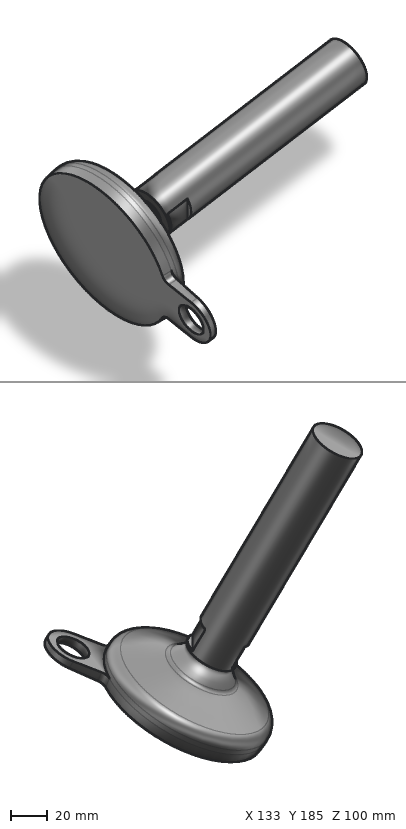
import cadquery as cq
import math


base_radius = 50.0
underside_radius = 49.3
rim_height = 6.0
band_top = 9.0
shoulder_radius = 7.5
cone_angle = math.radians(20.0)

dome_radius = 25.0
dome_centre_y = 10.8
dome_blend_radius = 5.0

stem_radius = 15.0
stem_bottom = 35.5
stem_top = 185.0
neck_radius = 8.5
flat_spacing = 24.0
flat_length = 15.0
collar_thickness = 1.5

lug_radius = 15.0
lug_reach = 83.0
lug_centre_x = lug_reach - lug_radius
lug_hole_diameter = 19.0
lug_corner_radius = 5.0
lug_slope = math.radians(3.0)
lug_slope_start_x = 47.0


def make_rim_with_lug():
    """Tapered rim joined to a lug whose upper face slopes down to its tip."""
    rim = (
        cq.Workplane("XY")
        .polyline([(0, 0), (underside_radius, 0), (base_radius, rim_height), (0, rim_height)])
        .close()
        .revolve(360, (0, 0), (0, 1))
    )
    lug = (
        cq.Workplane("XZ")
        .moveTo(0, -lug_radius)
        .lineTo(lug_centre_x, -lug_radius)
        .threePointArc((lug_reach, 0), (lug_centre_x, lug_radius))
        .lineTo(0, lug_radius)
        .close()
        .extrude(-rim_height)
    )
    corner_margin = 2.0
    corner_x = math.sqrt(base_radius**2 - lug_radius**2)
    corner_edges = cq.selectors.BoxSelector(
        (corner_x - corner_margin, 0, -lug_radius - corner_margin),
        (corner_x + corner_margin, rim_height, lug_radius + corner_margin),
    )
    plate = rim.union(lug).edges(corner_edges).edges("not #Y").fillet(lug_corner_radius)

    wedge_run = lug_reach - lug_slope_start_x
    wedge = (
        cq.Workplane("XY")
        .moveTo(lug_slope_start_x, rim_height)
        .lineTo(lug_reach, rim_height)
        .lineTo(lug_reach, rim_height - wedge_run * math.tan(lug_slope))
        .close()
        .extrude(base_radius, both=True)
    )
    hole = (
        cq.Workplane("XZ")
        .center(lug_centre_x, 0)
        .circle(lug_hole_diameter / 2)
        .extrude(-rim_height)
    )
    return plate.cut(wedge).cut(hole).union(rim)


def make_upper_pad():
    """Band, rounded shoulder, cone and ball dome, revolved about the Y axis."""
    shoulder_x = base_radius - shoulder_radius

    def shoulder_point(angle):
        return (
            shoulder_x + shoulder_radius * math.cos(angle),
            band_top + shoulder_radius * math.sin(angle),
        )

    cone_normal = math.pi / 2 - cone_angle
    cone_start = shoulder_point(cone_normal)

    normal_x = math.cos(cone_normal)
    normal_y = math.sin(cone_normal)
    cone_offset = cone_start[0] * normal_x + (cone_start[1] - dome_centre_y) * normal_y
    blend_offset = cone_offset + dome_blend_radius
    blend_distance = dome_radius + dome_blend_radius
    blend_angle = cone_normal - math.acos(blend_offset / blend_distance)
    blend_x = blend_distance * math.cos(blend_angle)
    blend_y = dome_centre_y + blend_distance * math.sin(blend_angle)

    def blend_point(angle):
        return (
            blend_x - dome_blend_radius * math.cos(angle),
            blend_y - dome_blend_radius * math.sin(angle),
        )

    def dome_point(angle):
        return (
            dome_radius * math.cos(angle),
            dome_centre_y + dome_radius * math.sin(angle),
        )

    dome_middle = (blend_angle + math.pi / 2) / 2
    return (
        cq.Workplane("XY")
        .moveTo(0, rim_height)
        .lineTo(base_radius, rim_height)
        .lineTo(base_radius, band_top)
        .threePointArc(shoulder_point(cone_normal / 2), cone_start)
        .lineTo(*blend_point(cone_normal))
        .threePointArc(blend_point((cone_normal + blend_angle) / 2), blend_point(blend_angle))
        .threePointArc(dome_point(dome_middle), dome_point(math.pi / 2))
        .close()
        .revolve(360, (0, 0), (0, 1))
    )


def make_stem():
    """Round stem with a neck into the dome and two opposite wrench flats."""
    shaft = (
        cq.Workplane("XZ", origin=(0, stem_bottom, 0))
        .circle(stem_radius)
        .extrude(-(stem_top - stem_bottom))
    )
    neck = (
        cq.Workplane("XZ", origin=(0, dome_centre_y, 0))
        .circle(neck_radius)
        .extrude(-(stem_bottom - dome_centre_y))
    )
    flat_depth = stem_radius - flat_spacing / 2
    flat_middle_y = stem_bottom + collar_thickness + flat_length / 2
    for side in (-1, 1):
        flat = cq.Workplane("XY").box(flat_depth, flat_length, 2 * stem_radius)
        flat_middle_x = side * (flat_spacing + flat_depth) / 2
        shaft = shaft.cut(flat.translate((flat_middle_x, flat_middle_y, 0)))
    return shaft.union(neck)


result = make_rim_with_lug().union(make_upper_pad()).union(make_stem())